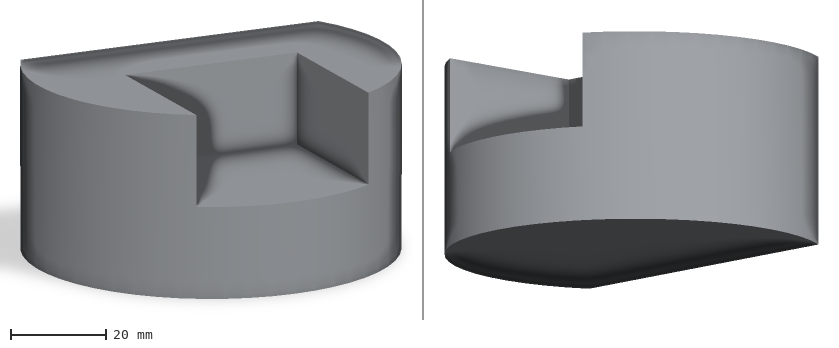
import cadquery as cq

diameter = 80.0
height = 40.0
radius = diameter / 2
flat_offset = radius / 2
pocket_width = diameter / 2
pocket_depth = height / 2


def flatted_disc():
    """Cylinder about Z with its -X side cut to a flat."""
    disc = cq.Workplane("XY").circle(radius).extrude(height)
    keep = (
        cq.Workplane("XY")
        .box(radius + flat_offset, diameter, height, centered=(False, True, False))
        .translate((-flat_offset, 0, 0))
    )
    return disc.intersect(keep)


def pocket():
    """Square-cornered pocket from the axis out through the +X side."""
    return (
        cq.Workplane("XY")
        .box(radius, pocket_width, pocket_depth, centered=(False, True, False))
        .translate((0, 0, height - pocket_depth))
    )


result = flatted_disc().cut(pocket())